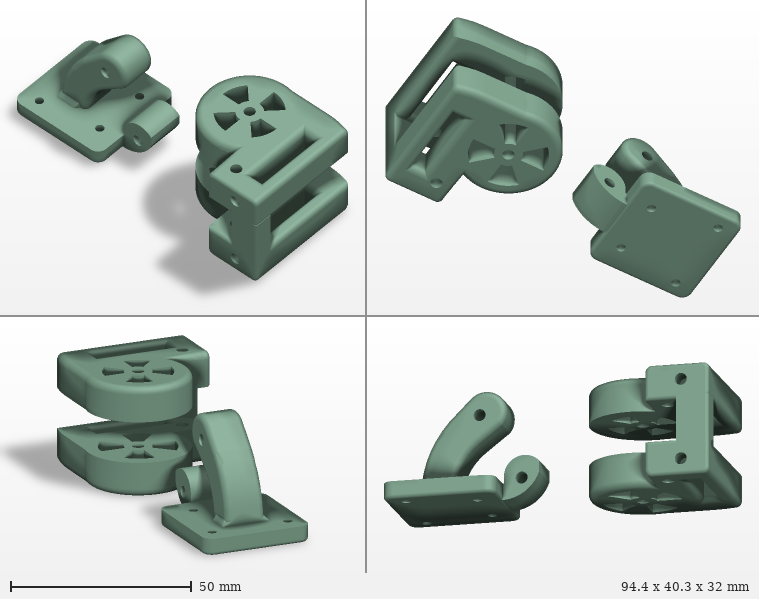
import cadquery as cq
import math

TONGUE_WIDTH = 11.7
PIN_HOLE = 3.4

PLATE_SIZE = 32.0
PLATE_THICKNESS = 4.9
PLATE_CORNER = 3.0
PLATE_BOTTOM_FILLET = 1.0
SCREW_HOLE = 2.6
REAR_SCREW_X, REAR_SCREW_Y = 5.9, 11.5
FRONT_SCREW_X, FRONT_SCREW_Y = 25.4, 8.25

ARM_BACK_X = 8.3
ARM_BACK_MIDDLE = (11.4, 16.7)
ARM_BACK_ARC_END = (16.4, 24.1)
ARM_LEAN = math.radians(45)
ARM_TIP_RADIUS = 6.0
ARM_TIP_X, ARM_TIP_Z = 26.8, 25.99
ARM_INNER_FOOT_X = 18.05
ARM_INNER_MIDDLE = (20.5, 12.5)
ARM_INNER_ARC_END = (24.6, 17.0)
ARM_INNER_TIP_ANGLE = math.radians(-39)
ARM_FILLET = 1.75
ARM_HOLE_X, ARM_HOLE_Z = 25.35, 25.05

FLARE = 1.4
FLARE_END_X = 16.6
FLARE_TOP_TAPER = 1.0
FLARE_BOTTOM_TAPER = 1.8
FLARE_CORNER = 0.4

LUG_START_X = PLATE_SIZE - PLATE_BOTTOM_FILLET
LUG_BACK_X = 32.3
LUG_RADIUS = 5.8
LUG_CENTER_Z = 6.95
LUG_TIP_X = 42.35
LUG_TIP_LOW_Z = 7.8
LUG_BELLY = (38.85, 2.75)
LUG_BOTTOM_X, LUG_BOTTOM_Z = 33.0, 0.25
LUG_HOLE_X, LUG_HOLE_Z = 37.35, 6.3

CHEEK_THICKNESS = 10.0
CHEEK_GAP = 11.8
CLEVIS_HEIGHT = 2 * CHEEK_THICKNESS + CHEEK_GAP
DISC_RADIUS = 15.0
DISC_X, DISC_Y = 69.3, 4.83
CLEVIS_RIGHT = 94.37
CLEVIS_FRONT = -20.44
CHEEK_STRAIGHT_START_X = 72.26
CHEEK_STRAIGHT_END_X = 85.6
CHEEK_BACK_RADIUS = 28.0
BLOCK_LEFT = 76.15
NOTCH_X = 75.4
BLOCK_ROOT_Y = -3.0
BACK_CORNER = 1.6
BLOCK_CORNER = 1.2
DISC_FILLET = 2.0
RIGHT_FILLET = 1.6
FRONT_FILLET = 1.0
BLOCK_FILLET_ROOT, BLOCK_FILLET_FRONT = 0.7, 1.9
POST_LEFT = 85.1
POST_BACK = -14.6
POST_BACK_LEFT = 88.5
POST_LEFT_FLAT = 1.0
POST_INTO_LOWER, POST_INTO_UPPER = 2.0, 1.0

SPOKE_COUNT = 4
SPOKE_SWEEP = math.radians(45)
SPOKE_INNER = 4.0
SPOKE_OUTER_UPPER, SPOKE_OUTER_LOWER = 10.0, 11.2
WINDOW_LEFT, WINDOW_RIGHT = 85.55, 90.0
WINDOW_FRONT, WINDOW_BACK = -12.75, 9.35
WINDOW_FLARE = 2.05
WINDOW_FLARE_RIGHT = 1.3
BLOCK_HOLE_X, BLOCK_HOLE_Y = 81.25, -14.1
CROSS_HOLE_X = 86.5
CROSS_HOLE_Z = 4.5


def polar(x, y, radius, angle):
    """Point on a circle about (x, y)."""
    return x + radius * math.cos(angle), y + radius * math.sin(angle)


def across_tongue(profile):
    """Extrude an XZ profile symmetrically to the tongue width."""
    return profile.extrude(TONGUE_WIDTH / 2, both=True)


def cross_pin_hole(x, z):
    """Cutter for a pin hole along Y through the tongue."""
    return across_tongue(cq.Workplane("XZ").center(x, z).circle(PIN_HOLE / 2))



def make_plate():
    plate = cq.Workplane("XY").rect(PLATE_SIZE, PLATE_SIZE).extrude(PLATE_THICKNESS)
    plate = plate.translate((PLATE_SIZE / 2, 0, 0)).edges("|Z").fillet(PLATE_CORNER)
    plate = plate.faces("<Z").edges().fillet(PLATE_BOTTOM_FILLET)
    screws = [
        (x, side * y)
        for x, y in ((REAR_SCREW_X, REAR_SCREW_Y), (FRONT_SCREW_X, FRONT_SCREW_Y))
        for side in (-1, 1)
    ]
    holes = cq.Workplane("XY").pushPoints(screws).circle(SCREW_HOLE / 2).extrude(PLATE_THICKNESS)
    return plate.cut(holes)


def make_arm():
    tip_center = (ARM_TIP_X, ARM_TIP_Z)
    tip_start = polar(*tip_center, ARM_TIP_RADIUS, math.pi - ARM_LEAN)
    tip_middle = polar(*tip_center, ARM_TIP_RADIUS, ARM_LEAN)
    tip_end = polar(*tip_center, ARM_TIP_RADIUS, ARM_INNER_TIP_ANGLE)
    arm = across_tongue(
        cq.Workplane("XZ")
        .moveTo(ARM_BACK_X, PLATE_THICKNESS)
        .threePointArc(ARM_BACK_MIDDLE, ARM_BACK_ARC_END)
        .lineTo(*tip_start)
        .threePointArc(tip_middle, tip_end)
        .lineTo(*ARM_INNER_ARC_END)
        .threePointArc(ARM_INNER_MIDDLE, (ARM_INNER_FOOT_X, PLATE_THICKNESS))
        .close()
    )
    side_edges = arm.faces("<Y or >Y").edges().vals()
    above_foot = [edge for edge in side_edges if edge.Center().z > PLATE_THICKNESS + FLARE]
    arm = arm.newObject(above_foot).fillet(ARM_FILLET)
    return arm.cut(cross_pin_hole(ARM_HOLE_X, ARM_HOLE_Z))


def flare_outline(half_width, corner, taper):
    """Corner points of a flare section, mirrored about the XZ plane."""
    side = [
        (ARM_BACK_X, half_width - corner),
        (ARM_BACK_X + corner, half_width),
        (FLARE_END_X - taper, half_width),
        (FLARE_END_X, half_width - taper),
    ]
    return side + [(x, -y) for x, y in reversed(side)]


def make_foot_flare():
    half_width = TONGUE_WIDTH / 2
    bottom = flare_outline(half_width + FLARE, FLARE_CORNER, FLARE_BOTTOM_TAPER)
    top = flare_outline(half_width, ARM_FILLET, FLARE_TOP_TAPER)
    return (
        cq.Workplane("XY", origin=(0, 0, PLATE_THICKNESS))
        .polyline(bottom).close()
        .workplane(offset=FLARE)
        .polyline(top).close()
        .loft(ruled=True)
    )


def make_lug():
    center = (LUG_BACK_X + LUG_RADIUS, LUG_CENTER_Z)
    tip_angle = math.acos((LUG_TIP_X - center[0]) / LUG_RADIUS)
    top = polar(*center, LUG_RADIUS, math.pi / 2)
    tip = polar(*center, LUG_RADIUS, tip_angle)
    lug = across_tongue(
        cq.Workplane("XZ")
        .moveTo(LUG_START_X, LUG_BOTTOM_Z)
        .lineTo(LUG_START_X, PLATE_THICKNESS)
        .lineTo(LUG_BACK_X, PLATE_THICKNESS)
        .lineTo(LUG_BACK_X, LUG_CENTER_Z)
        .threePointArc(top, tip)
        .lineTo(LUG_TIP_X, LUG_TIP_LOW_Z)
        .threePointArc(LUG_BELLY, (LUG_BOTTOM_X, LUG_BOTTOM_Z))
        .close()
    )
    return lug.cut(cross_pin_hole(LUG_HOLE_X, LUG_HOLE_Z))


def make_base():
    return make_plate().union(make_arm()).union(make_foot_flare()).union(make_lug())



def disc_y_offset(x):
    """Distance of the disc rim from the disc centre line at a given X."""
    return math.sqrt(DISC_RADIUS ** 2 - (x - DISC_X) ** 2)


NOTCH_Y = DISC_Y - disc_y_offset(NOTCH_X)
CHEEK_BACK = DISC_Y + disc_y_offset(CHEEK_STRAIGHT_START_X)


def back_curve_y(x):
    """Y of the curved part of the back edge."""
    run = x - CHEEK_STRAIGHT_END_X
    return CHEEK_BACK - CHEEK_BACK_RADIUS + math.sqrt(CHEEK_BACK_RADIUS ** 2 - run ** 2)


CLEVIS_BACK_CORNER = back_curve_y(CLEVIS_RIGHT)


def make_block():
    """Square-edged part of a cheek beside the disc, outer face on Z = 0."""
    curve_middle_x = (CHEEK_STRAIGHT_END_X + CLEVIS_RIGHT) / 2
    return (
        cq.Workplane("XY")
        .moveTo(BLOCK_LEFT, CLEVIS_FRONT)
        .lineTo(BLOCK_LEFT, BLOCK_ROOT_Y)
        .lineTo(DISC_X, BLOCK_ROOT_Y)
        .lineTo(DISC_X, CHEEK_BACK)
        .lineTo(CHEEK_STRAIGHT_END_X, CHEEK_BACK)
        .threePointArc((curve_middle_x, back_curve_y(curve_middle_x)), (CLEVIS_RIGHT, CLEVIS_BACK_CORNER))
        .lineTo(CLEVIS_RIGHT, CLEVIS_FRONT)
        .close()
        .extrude(CHEEK_THICKNESS)
    )


def edge_near(solid, x, y, z):
    return solid.edges(cq.selectors.NearestToPointSelector((x, y, z))).val()


def round_block(block):
    """Round the block in one operation; the left edge's radius grows towards the front."""
    middle_x = (BLOCK_LEFT + CLEVIS_RIGHT) / 2
    middle_y = (CLEVIS_FRONT + CLEVIS_BACK_CORNER) / 2
    middle_z = CHEEK_THICKNESS / 2
    straight_middle_x = (DISC_X + CHEEK_STRAIGHT_END_X) / 2
    constant_fillets = [
        (CLEVIS_RIGHT, middle_y, 0, RIGHT_FILLET),
        (CLEVIS_RIGHT, middle_y, CHEEK_THICKNESS, RIGHT_FILLET),
        (middle_x, CLEVIS_FRONT, 0, FRONT_FILLET),
        (middle_x, CLEVIS_FRONT, CHEEK_THICKNESS, FRONT_FILLET),
        (straight_middle_x, CHEEK_BACK, 0, DISC_FILLET),
        (BLOCK_LEFT, CLEVIS_FRONT, middle_z, BLOCK_CORNER),
        (CLEVIS_RIGHT, CLEVIS_FRONT, middle_z, FRONT_FILLET),
        (CLEVIS_RIGHT, CLEVIS_BACK_CORNER, middle_z, BACK_CORNER),
    ]
    fillet = cq.occ_impl.shapes.BRepFilletAPI_MakeFillet(block.val().wrapped)
    for x, y, z, radius in constant_fillets:
        fillet.Add(radius, edge_near(block, x, y, z).wrapped)

    left_edge = edge_near(block, BLOCK_LEFT, (CLEVIS_FRONT + BLOCK_ROOT_Y) / 2, 0)
    radii = (BLOCK_FILLET_FRONT, BLOCK_FILLET_ROOT)
    if left_edge.startPoint().y > left_edge.endPoint().y:
        radii = tuple(reversed(radii))
    fillet.Add(*radii, left_edge.wrapped)
    return cq.Workplane(cq.Shape.cast(fillet.Shape()))


def make_disc():
    disc = cq.Workplane("XY").center(DISC_X, DISC_Y).circle(DISC_RADIUS).extrude(CHEEK_THICKNESS)
    return disc.faces("<Z").edges().fillet(DISC_FILLET)


def make_notch_step():
    """Short flat between the disc rim and the left side of the block."""
    return cq.Workplane("XY").box(
        BLOCK_LEFT - NOTCH_X, BLOCK_ROOT_Y - NOTCH_Y, CHEEK_THICKNESS - DISC_FILLET, centered=False
    ).translate((NOTCH_X, NOTCH_Y, DISC_FILLET))


def make_spoke_openings(outer_radius):
    openings = cq.Workplane("XY")
    for index in range(SPOKE_COUNT):
        end = index * 2 * math.pi / SPOKE_COUNT
        start = end - SPOKE_SWEEP
        middle = end - SPOKE_SWEEP / 2
        openings = openings.add(
            cq.Workplane("XY")
            .moveTo(*polar(DISC_X, DISC_Y, SPOKE_INNER, start))
            .lineTo(*polar(DISC_X, DISC_Y, outer_radius, start))
            .threePointArc(
                polar(DISC_X, DISC_Y, outer_radius, middle), polar(DISC_X, DISC_Y, outer_radius, end)
            )
            .lineTo(*polar(DISC_X, DISC_Y, SPOKE_INNER, end))
            .threePointArc(
                polar(DISC_X, DISC_Y, SPOKE_INNER, middle), polar(DISC_X, DISC_Y, SPOKE_INNER, start)
            )
            .close()
            .extrude(CHEEK_THICKNESS)
        )
    return openings.combine()


def flared_profile(plane, low, high, low_flare, high_flare):
    """Opening profile between low and high, rounded outwards at both cheek faces."""
    top = CHEEK_THICKNESS
    return (
        cq.Workplane(plane)
        .moveTo(low - low_flare, 0)
        .radiusArc((low, low_flare), -low_flare)
        .lineTo(low, top - low_flare)
        .radiusArc((low - low_flare, top), -low_flare)
        .lineTo(high + high_flare, top)
        .radiusArc((high, top - high_flare), -high_flare)
        .lineTo(high, high_flare)
        .radiusArc((high + high_flare, 0), -high_flare)
        .close()
    )


def make_window():
    """Window cutter whose flares meet in mitred corners."""
    reach = 2 * CLEVIS_RIGHT
    across = flared_profile("XZ", WINDOW_LEFT, WINDOW_RIGHT, WINDOW_FLARE, WINDOW_FLARE_RIGHT)
    along = flared_profile("YZ", WINDOW_FRONT, WINDOW_BACK, WINDOW_FLARE, WINDOW_FLARE)
    return across.extrude(reach, both=True).intersect(along.extrude(reach, both=True))


def make_cheek_holes():
    upright = [(DISC_X, DISC_Y), (BLOCK_HOLE_X, BLOCK_HOLE_Y)]
    holes = cq.Workplane("XY").pushPoints(upright).circle(PIN_HOLE / 2).extrude(CHEEK_THICKNESS)
    cross_hole = (
        cq.Workplane("XZ", origin=(CROSS_HOLE_X, CLEVIS_FRONT, CROSS_HOLE_Z))
        .circle(PIN_HOLE / 2)
        .extrude(CLEVIS_FRONT - POST_BACK)
    )
    return holes.union(cross_hole)


def make_cheek(spoke_outer):
    """Cheek lying with its outer face on Z = 0."""
    cheek = round_block(make_block()).union(make_disc()).union(make_notch_step())
    for opening in (make_spoke_openings(spoke_outer), make_window(), make_cheek_holes()):
        cheek = cheek.cut(opening)
    return cheek


def make_post():
    bottom = CHEEK_THICKNESS - POST_INTO_LOWER
    top = CHEEK_THICKNESS + CHEEK_GAP + POST_INTO_UPPER
    post = (
        cq.Workplane("XY", origin=(0, 0, bottom))
        .moveTo(POST_LEFT, CLEVIS_FRONT)
        .lineTo(POST_LEFT, CLEVIS_FRONT + POST_LEFT_FLAT)
        .lineTo(POST_BACK_LEFT, POST_BACK)
        .lineTo(CLEVIS_RIGHT, POST_BACK)
        .lineTo(CLEVIS_RIGHT, CLEVIS_FRONT)
        .close()
        .extrude(top - bottom)
    )
    return post.edges("|Z and >X and <Y").fillet(FRONT_FILLET)


def make_clevis():
    lower = make_cheek(SPOKE_OUTER_LOWER)
    upper = make_cheek(SPOKE_OUTER_UPPER).mirror("XY").translate((0, 0, CLEVIS_HEIGHT))
    return lower.union(upper).union(make_post())


base = make_base()
clevis = make_clevis()
result = cq.Compound.makeCompound([base.val(), clevis.val()])